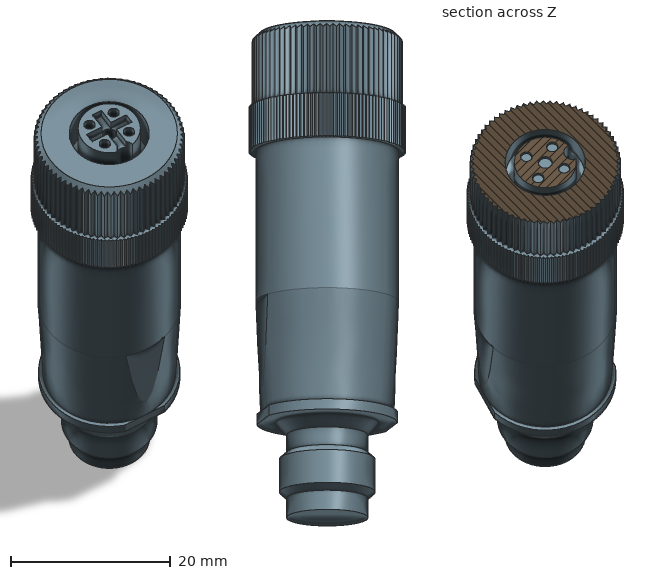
import cadquery as cq
import math

TOTAL_HEIGHT = 62.85
PLUG_TIP_TOP = 2.45
COLLAR_TOP = 8.3
CONE_BOTTOM = 10.55
FLANGE_BOTTOM = 12.05
FLANGE_TOP = 13.4
SLEEVE_BOTTOM = 27.6
NUT_BOTTOM = 46.9
KNURL_STEP = 52.4
NUT_TOP = 61.85

PLUG_DIAMETER = 10.2
COLLAR_DIAMETER = 12.0
COLLAR_CHAMFER_HEIGHT = 0.8
CONE_TOP_DIAMETER = 13.0

FLANGE_DIAMETER = 17.7
FLANGE_FLAT_OFFSET = 8.35
SLEEVE_DIAMETER = 17.9
GRIP_BOTTOM_DIAMETER = 16.7
GRIP_TOP_DIAMETER = SLEEVE_DIAMETER
GRIP_FLAT_OFFSET = 8.5

BAND_DIAMETER = 19.7
BAND_TEETH = 125
BAND_TOOTH_DEPTH = 0.215
CAP_DIAMETER = 18.85
CAP_TEETH = 70
CAP_TOOTH_DEPTH = 0.45
NUT_CHAMFER = 0.9
NUT_BORE_DIAMETER = 10.0

INSERT_DIAMETER = 7.8
SHOULDER_TOP = 56.55
SHOULDER_SLOPE = 30.0
KEYWAY_RADIUS = 1.05
KEYWAY_OFFSET = 3.8
SLOT_LENGTH = 5.85
SLOT_WIDTH = 1.3
SLOT_DEPTH = 1.2
CONTACT_DIAMETER = 1.4
CONTACT_PITCH = 3.6
CENTRE_HOLE_DIAMETER = 1.7
CONTACT_DEPTH = 3.8


def cylinder(diameter, bottom, top):
    """Upright cylinder on the axis between two heights."""
    return cq.Workplane("XY").workplane(offset=bottom).circle(diameter / 2).extrude(top - bottom)


def cut_side_flats(body, offset):
    """Keep only what lies between two planes at x = -offset and x = +offset."""
    slab = cq.Workplane("XY").box(2 * offset, 2 * TOTAL_HEIGHT, 2 * TOTAL_HEIGHT)
    return body.intersect(slab)


def knurled_cylinder(diameter, tooth_count, tooth_depth, bottom, top):
    """Upright cylinder with straight V-shaped teeth, one root on the -Y side."""
    tip_radius = diameter / 2
    root_radius = tip_radius - tooth_depth
    half_pitch = math.pi / tooth_count
    points = []
    for i in range(2 * tooth_count):
        radius = tip_radius if i % 2 == 1 else root_radius
        angle = i * half_pitch - math.pi / 2
        points.append((radius * math.cos(angle), radius * math.sin(angle)))
    return cq.Workplane("XY").workplane(offset=bottom).polyline(points).close().extrude(top - bottom)


def make_plug():
    """Plug end: neck, chamfered collar and the cone that meets the flange."""
    plug_radius = PLUG_DIAMETER / 2
    collar_radius = COLLAR_DIAMETER / 2
    profile = [
        (0, 0),
        (plug_radius, 0),
        (plug_radius, PLUG_TIP_TOP),
        (collar_radius, PLUG_TIP_TOP + COLLAR_CHAMFER_HEIGHT),
        (collar_radius, COLLAR_TOP - COLLAR_CHAMFER_HEIGHT),
        (plug_radius, COLLAR_TOP),
        (plug_radius, CONE_BOTTOM),
        (CONE_TOP_DIAMETER / 2, FLANGE_BOTTOM),
        (0, FLANGE_BOTTOM),
    ]
    return cq.Workplane("XZ").polyline(profile).close().revolve(360, (0, 0), (0, 1))


def make_flange():
    """Thin round flange with two side flats."""
    return cut_side_flats(cylinder(FLANGE_DIAMETER, FLANGE_BOTTOM, FLANGE_TOP), FLANGE_FLAT_OFFSET)


def make_grip():
    """Tapered grip, wider at the top, with two side flats."""
    profile = [
        (0, FLANGE_TOP),
        (GRIP_BOTTOM_DIAMETER / 2, FLANGE_TOP),
        (GRIP_TOP_DIAMETER / 2, SLEEVE_BOTTOM),
        (0, SLEEVE_BOTTOM),
    ]
    taper = cq.Workplane("XZ").polyline(profile).close().revolve(360, (0, 0), (0, 1))
    return cut_side_flats(taper, GRIP_FLAT_OFFSET)


def make_core():
    """Core that fills the nut's bore and ends in a conical shoulder sunk towards the axis."""
    core_radius = NUT_BORE_DIAMETER / 2
    shoulder_drop = core_radius * math.tan(math.radians(SHOULDER_SLOPE))
    profile = [
        (0, NUT_BOTTOM),
        (core_radius, NUT_BOTTOM),
        (core_radius, SHOULDER_TOP),
        (0, SHOULDER_TOP - shoulder_drop),
    ]
    return cq.Workplane("XZ").polyline(profile).close().revolve(360, (0, 0), (0, 1))


def make_insert():
    """Contact insert with its keyway, crossed slots, contact holes and centre hole."""
    insert = cylinder(INSERT_DIAMETER, NUT_BOTTOM, TOTAL_HEIGHT)
    keyway = cylinder(2 * KEYWAY_RADIUS, NUT_BOTTOM, TOTAL_HEIGHT).translate((KEYWAY_OFFSET, 0, 0))
    insert = insert.cut(keyway)
    top_face = cq.Workplane("XY").workplane(offset=TOTAL_HEIGHT)
    for length_x, length_y in ((SLOT_LENGTH, SLOT_WIDTH), (SLOT_WIDTH, SLOT_LENGTH)):
        insert = insert.cut(top_face.rect(length_x, length_y).extrude(-SLOT_DEPTH))
    contacts = top_face.rect(CONTACT_PITCH, CONTACT_PITCH, forConstruction=True).vertices()
    insert = insert.cut(contacts.circle(CONTACT_DIAMETER / 2).extrude(-CONTACT_DEPTH))
    return insert.cut(cylinder(CENTRE_HOLE_DIAMETER, TOTAL_HEIGHT - CONTACT_DEPTH, TOTAL_HEIGHT))


def make_carrier():
    """Carrier: plug, flange, grip, sleeve, core and contact insert in one solid."""
    sleeve = cylinder(SLEEVE_DIAMETER, SLEEVE_BOTTOM, NUT_BOTTOM)
    carrier = make_plug()
    for section in (make_flange(), make_grip(), sleeve, make_core(), make_insert()):
        carrier = carrier.union(section)
    return carrier


def make_nut():
    """Knurled nut: wide band, narrower chamfered cap and a plain bore."""
    band = knurled_cylinder(BAND_DIAMETER, BAND_TEETH, BAND_TOOTH_DEPTH, NUT_BOTTOM, KNURL_STEP)
    cap = knurled_cylinder(CAP_DIAMETER, CAP_TEETH, CAP_TOOTH_DEPTH, KNURL_STEP, NUT_TOP)
    chamfered_envelope = cylinder(CAP_DIAMETER, KNURL_STEP, NUT_TOP).faces(">Z").chamfer(NUT_CHAMFER)
    cap = cap.intersect(chamfered_envelope)
    return band.union(cap).cut(cylinder(NUT_BORE_DIAMETER, NUT_BOTTOM, NUT_TOP))


carrier = make_carrier()
nut = make_nut()
result = cq.Compound.makeCompound([carrier.solids().val(), nut.solids().val()])